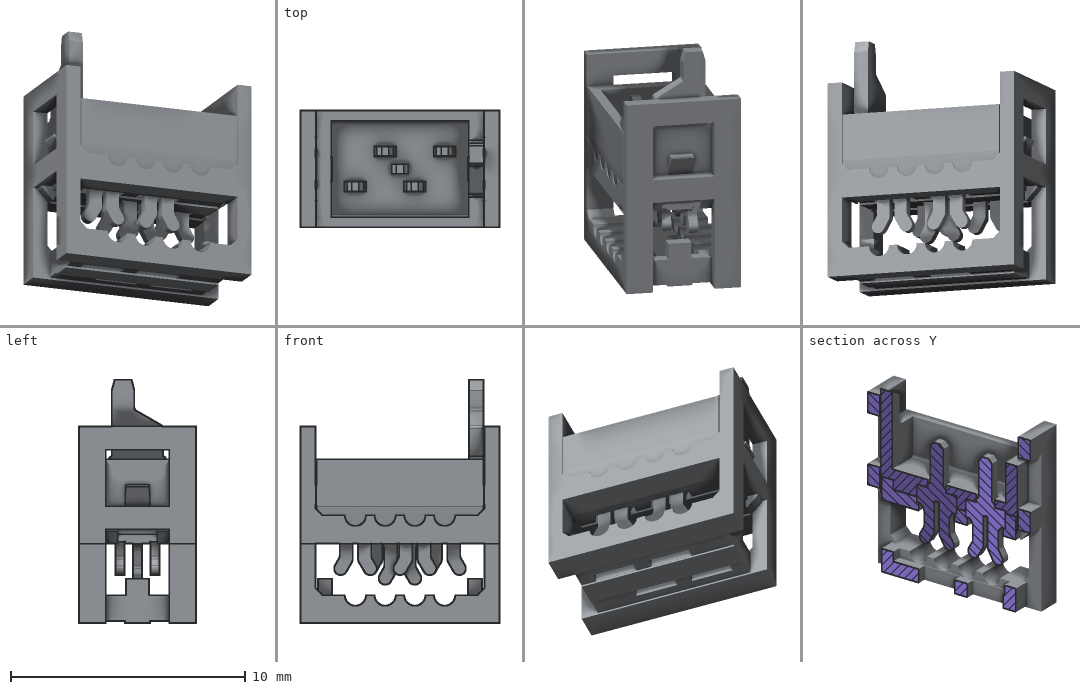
import cadquery as cq
import math

cover_length = 8.51
cover_width = 5.0
cover_height = 5.0
cover_lift = 3.4
frame_thickness = 0.65
window_width = 2.71
frame_bar_height = 1.0
base_top = 1.2
base_end_recess = 0.1
base_chamfer = 0.3
groove_pitch = 1.27
groove_count = 4
groove_radius = 0.45
pocket_width = 2.0
tab_width = 1.0
tab_thickness = 0.61
tab_top = 1.9
rail_width = 1.08
channel_depth = 0.085
contact_slot_length = 1.86

frame_inner_x = cover_length / 2 - frame_thickness
base_end_x = frame_inner_x - base_end_recess
pocket_end_x = base_end_x - tab_thickness
pocket_floor = base_top - groove_radius
window_top = cover_height - frame_bar_height

contact_thickness = 0.4
row_y = 0.75
blade_width = 0.7
blade_tip_chamfer = 0.2
blade_top = 6.95
neck_width = 0.93
neck_top = 5.0
neck_chamfer = (neck_width - blade_width) / 2
body_top = 4.7
shoulder_z = 3.89
shoulder_radius = 0.35
fork_slot_width = 0.22
fork_slot_top = 4.2
leg_width = 0.565
leg_bend_z = 2.74
leg_bend_radius = 0.25
leg_angle = math.radians(30)
leg_tip_centre_z = 2.33
spare_contact_drop = 0.41

housing_length = 7.14
housing_top = 7.0
taper_start = cover_height
taper_angle = math.radians(4)
skirt_bottom = 3.8
cavity_length = 5.89
cavity_width = 4.12
cavity_floor = 5.1
cavity_fillet = 0.12
floor_slot_width = 0.45
housing_bottom = pocket_floor + cover_lift

peg_top = 10.4
peg_back_y = 1.1
peg_step_y = 0.13
peg_front_y = -1.09
peg_step_z = 9.12
peg_slope_angle = math.radians(30)
peg_tip_inset = 0.12
peg_tip_height = 0.45
peg_corner_radius = 0.15
peg_root_radius = 0.12

catch_reach = 0.47
catch_land = 0.08
upper_catch_top = 5.9
upper_catch_height = 0.91
upper_catch_top_width = 1.0
upper_catch_bottom_width = 1.08
lower_catch_top = cover_height - frame_bar_height
lower_catch_height = lower_catch_top - cover_lift
lower_catch_inner_y = 0.84

housing_end_x = housing_length / 2
cavity_end_x = cavity_length / 2


def box(x_range, y_range, z_range):
    (x0, x1), (y0, y1), (z0, z1) = x_range, y_range, z_range
    return cq.Workplane("XY").box(x1 - x0, y1 - y0, z1 - z0, centered=False).translate((x0, y0, z0))


def centred_box(length, width, z0, z1):
    return box((-length / 2, length / 2), (-width / 2, width / 2), (z0, z1))


def fillet_corner(body, direction, point, radius):
    """Round the one edge along the given direction that lies nearest to the point."""
    edge = body.edges(direction).edges(cq.selectors.NearestToPointSelector(point))
    return edge.fillet(radius)


def groove_positions():
    """X and Y of each contact: one per cable groove, alternating between the rows."""
    positions = []
    for i in range(groove_count):
        x = (i - (groove_count - 1) / 2) * groove_pitch
        y = -row_y if i % 2 == 0 else row_y
        positions.append((x, y))
    return positions


def make_cover():
    half_length = cover_length / 2
    cover = centred_box(cover_length, cover_width, 0, cover_height)

    space = centred_box(2 * frame_inner_x, cover_width, base_top, cover_height)
    cover = cover.cut(space.edges("|Y and <Z").chamfer(base_chamfer))

    cover = cover.cut(centred_box(2 * frame_inner_x, window_width, base_top, cover_height))

    for x_range in ((-half_length, -base_end_x), (base_end_x, half_length)):
        cover = cover.cut(box(x_range, (-window_width / 2, window_width / 2), (0, window_top)))

    for x_range in ((-base_end_x, -pocket_end_x), (pocket_end_x, base_end_x)):
        cover = cover.union(box(x_range, (-tab_width / 2, tab_width / 2), (pocket_floor, tab_top)))

    cover = cover.cut(centred_box(2 * pocket_end_x, pocket_width, pocket_floor, base_top))

    for x, y in groove_positions():
        groove = cq.Workplane("XZ").center(x, base_top).circle(groove_radius)
        cover = cover.cut(groove.extrude(cover_width / 2, both=True))
        slot = centred_box(contact_slot_length, contact_thickness, 0, pocket_floor)
        cover = cover.cut(slot.translate((x, y, 0)))

    channels = centred_box(cover_length, window_width, 0, channel_depth)
    return cover.cut(channels.cut(centred_box(cover_length, rail_width, 0, channel_depth)))


def make_leg():
    """Right-hand fork leg: a straight stem bent outwards, with a round end."""
    half_width = leg_width / 2
    stem_x = fork_slot_width / 2 + half_width
    tip_x = stem_x + (leg_bend_z - leg_tip_centre_z) * math.tan(leg_angle)
    mitre = half_width * math.tan(leg_angle / 2)
    across_x = half_width * math.cos(leg_angle)
    across_z = half_width * math.sin(leg_angle)
    end_x = tip_x + half_width * math.sin(leg_angle)
    end_z = leg_tip_centre_z - half_width * math.cos(leg_angle)
    leg = (
        cq.Workplane("XZ")
        .moveTo(stem_x - half_width, fork_slot_top)
        .lineTo(stem_x + half_width, fork_slot_top)
        .lineTo(stem_x + half_width, leg_bend_z + mitre)
        .lineTo(tip_x + across_x, leg_tip_centre_z + across_z)
        .threePointArc((end_x, end_z), (tip_x - across_x, leg_tip_centre_z - across_z))
        .lineTo(stem_x - half_width, leg_bend_z - mitre)
        .close()
        .extrude(contact_thickness / 2, both=True)
    )
    leg = fillet_corner(leg, "|Y", (stem_x - half_width, 0, leg_bend_z - mitre), leg_bend_radius)
    return fillet_corner(leg, "|Y", (stem_x + half_width, 0, leg_bend_z + mitre), leg_bend_radius)


def make_contact():
    half_blade = blade_width / 2
    half_neck = neck_width / 2
    leg_outer_x = fork_slot_width / 2 + leg_width
    half_body = leg_outer_x + shoulder_radius
    right_half = (
        cq.Workplane("XZ")
        .moveTo(0, blade_top)
        .lineTo(half_blade - blade_tip_chamfer, blade_top)
        .lineTo(half_blade, blade_top - blade_tip_chamfer)
        .lineTo(half_blade, neck_top)
        .lineTo(half_neck, neck_top - neck_chamfer)
        .lineTo(half_neck, body_top)
        .lineTo(half_body, body_top)
        .lineTo(half_body, shoulder_z)
        .radiusArc((leg_outer_x, shoulder_z - shoulder_radius), -shoulder_radius)
        .lineTo(0, shoulder_z - shoulder_radius)
        .close()
        .extrude(contact_thickness / 2, both=True)
        .cut(centred_box(fork_slot_width, contact_thickness, leg_bend_z, fork_slot_top))
        .union(make_leg())
    )
    return right_half.union(right_half.mirror("YZ"))


def make_peg():
    """Stepped peg standing on the +X end wall and as thick as that wall."""
    slope_drop = (peg_step_y - peg_front_y) * math.tan(peg_slope_angle)
    front_z = peg_step_z - slope_drop
    tip_z = peg_top - peg_tip_height
    wall_thickness = housing_end_x - cavity_end_x
    peg = (
        cq.Workplane("YZ")
        .moveTo(peg_front_y, housing_top)
        .lineTo(peg_front_y, front_z)
        .lineTo(peg_step_y, peg_step_z)
        .lineTo(peg_step_y, tip_z)
        .lineTo(peg_step_y + peg_tip_inset, peg_top)
        .lineTo(peg_back_y - peg_tip_inset, peg_top)
        .lineTo(peg_back_y, tip_z)
        .lineTo(peg_back_y, housing_top)
        .close()
        .extrude(wall_thickness)
    )
    for y, z in ((peg_front_y, front_z), (peg_step_y, peg_step_z)):
        peg = fillet_corner(peg, "|X", (0, y, z), peg_corner_radius)

    for y, outward in ((peg_front_y, -1), (peg_back_y, 1)):
        root = (
            cq.Workplane("YZ")
            .moveTo(y, housing_top)
            .lineTo(y + outward * peg_root_radius, housing_top)
            .radiusArc((y, housing_top + peg_root_radius), -outward * peg_root_radius)
            .close()
            .extrude(wall_thickness)
        )
        peg = peg.union(root)
    return peg.translate((cavity_end_x, 0, 0))


def make_catch(top_width, bottom_width, top, height):
    """Catch on the +X end wall: flat top, short upright land, ramp back to the wall."""
    catch = (
        cq.Workplane("XZ")
        .moveTo(housing_end_x, top)
        .lineTo(housing_end_x + catch_reach, top)
        .lineTo(housing_end_x + catch_reach, top - catch_land)
        .lineTo(housing_end_x, top - height)
        .close()
        .extrude(bottom_width / 2, both=True)
    )
    flanks = (
        cq.Workplane("YZ")
        .moveTo(-top_width / 2, top)
        .lineTo(top_width / 2, top)
        .lineTo(bottom_width / 2, top - height)
        .lineTo(-bottom_width / 2, top - height)
        .close()
        .extrude(cover_length)
    )
    return catch.intersect(flanks)


def make_end_catches():
    """Skirt, upper catch and pair of lower catches of the +X end wall."""
    half_window = window_width / 2
    end_x_range = (base_end_x, housing_end_x)
    lower_catch_bottom = lower_catch_top - lower_catch_height
    skirt = box(end_x_range, (-half_window, half_window), (skirt_bottom, housing_bottom))
    upper = make_catch(upper_catch_top_width, upper_catch_bottom_width, upper_catch_top, upper_catch_height)

    lower = make_catch(window_width, window_width, lower_catch_top, lower_catch_height)
    backing = box(end_x_range, (-half_window, half_window), (lower_catch_bottom, skirt_bottom))
    gap = centred_box(cover_length, 2 * lower_catch_inner_y, lower_catch_bottom, lower_catch_top)
    lower = lower.union(backing).cut(gap)
    return skirt.union(upper).union(lower)


def make_housing():
    half_width = cover_width / 2
    lean = (taper_start - housing_bottom) * math.tan(taper_angle)
    housing = (
        cq.Workplane("YZ")
        .moveTo(-half_width, housing_top)
        .lineTo(half_width, housing_top)
        .lineTo(half_width, taper_start)
        .lineTo(half_width - lean, housing_bottom)
        .lineTo(-half_width + lean, housing_bottom)
        .lineTo(-half_width, taper_start)
        .close()
        .extrude(housing_end_x, both=True)
    )

    cavity = centred_box(cavity_length, cavity_width, cavity_floor, housing_top)
    housing = housing.cut(cavity.edges("|X and <Z").fillet(cavity_fillet))

    for x, y in groove_positions():
        slot = centred_box(neck_width, floor_slot_width, neck_top - neck_chamfer, cavity_floor)
        housing = housing.cut(slot.translate((x, y, 0)))

    end_catches = make_end_catches()
    return housing.union(make_peg()).union(end_catches).union(end_catches.mirror("YZ"))


contact = make_contact()
contacts = [contact.translate((x, y, 0)) for x, y in groove_positions()]
contacts.append(contact.translate((0, 0, -spare_contact_drop)))

full_cover = make_cover()
open_cover = full_cover.cut(centred_box(cover_length, cover_width, cover_lift, cover_height))
frame_bars = centred_box(cover_length, window_width, window_top, cover_height)
frame_bars = frame_bars.cut(centred_box(2 * frame_inner_x, window_width, window_top, cover_height))
closed_cover = full_cover.translate((0, 0, cover_lift)).union(frame_bars)

housing = make_housing().cut(closed_cover)
for placed_contact in contacts:
    closed_cover = closed_cover.cut(placed_contact)
    housing = housing.cut(placed_contact)

result = cq.Compound.makeCompound(
    [open_cover.val(), closed_cover.val(), housing.val(), *[placed.val() for placed in contacts]]
)